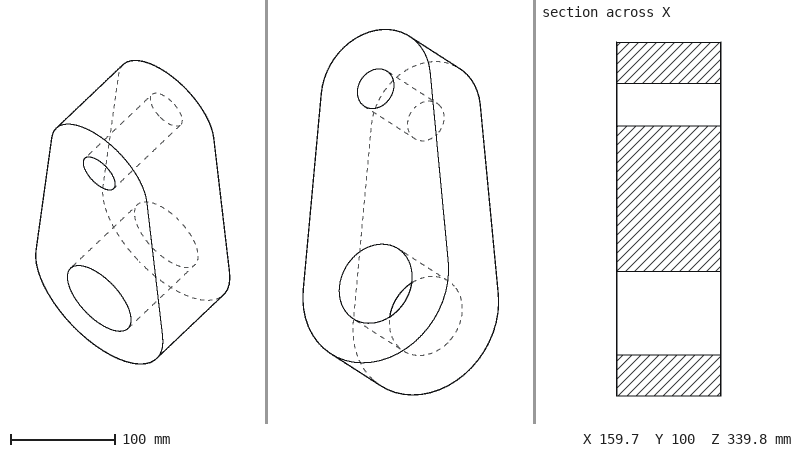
import cadquery as cq
import math

total_height = 339.8
thickness = 100.0
large_end_diameter = 159.7
small_end_diameter = 120.0
large_bore_diameter = 80.0
small_bore_diameter = 40.0

large_radius = large_end_diameter / 2
small_radius = small_end_diameter / 2
center_distance = total_height - large_radius - small_radius

flank_angle = math.asin((large_radius - small_radius) / center_distance)


def flank_point(radius, center_height, side):
    """Tangent point of an end arc with the flank on the given side (-1 or 1)."""
    x = side * radius * math.cos(flank_angle)
    z = center_height + radius * math.sin(flank_angle)
    return (x, z)


def make_body():
    """Tapered link with rounded ends, extruded along Y and centred on it."""
    return (
        cq.Workplane("XZ")
        .moveTo(*flank_point(large_radius, 0, 1))
        .lineTo(*flank_point(small_radius, center_distance, 1))
        .threePointArc((0, total_height - large_radius), flank_point(small_radius, center_distance, -1))
        .lineTo(*flank_point(large_radius, 0, -1))
        .threePointArc((0, -large_radius), flank_point(large_radius, 0, 1))
        .close()
        .extrude(thickness / 2, both=True)
    )


def make_bore(diameter, center_height):
    """Cylinder through the full thickness, concentric with an end arc."""
    return cq.Workplane("XZ").center(0, center_height).circle(diameter / 2).extrude(thickness / 2, both=True)


large_bore = make_bore(large_bore_diameter, 0)
small_bore = make_bore(small_bore_diameter, center_distance)
result = make_body().cut(large_bore).cut(small_bore)